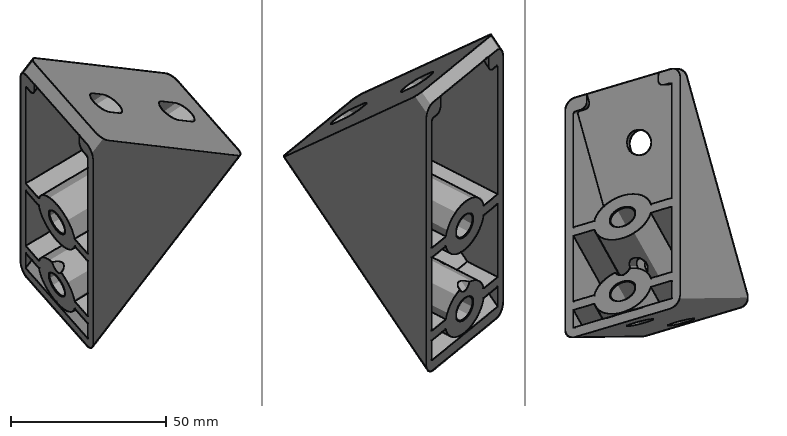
import cadquery as cq
import math

width = 40.0
plate_length = 2 * width
height = 116.7
corner_radius = 3.5
side_wall = 2.9
top_plate = 4.9
bottom_plate = 3.3
inner_apex_radius = 2.0

corner_pad = 4.7
pad_outer_radius = 2.1
pad_inner_radius = 0.8

boss_heights = (15.0, 50.0)
boss_diameter = 20.1
bore_diameter = 8.5
bore_chamfer = 0.2
rib_thickness = 4.1

slot_outer_width = 9.1
slot_inner_width = 8.0
slots = ((25.5, 16.1, 10.7), (64.3, 14.1, 8.2))
relief_diameter = 5.6
relief_offset = 18.8

slope = math.sqrt(2)
apex = height - plate_length / slope

apex_plane = cq.Plane(origin=(0, apex, apex), xDir=(-1, 0, 0), normal=(0, 1, 1))
prism_depth = apex * slope


def slope_box(box_width, start, end, top_depth):
    """Block under the top plate, running from its given depth past the front."""
    return (
        cq.Workplane(apex_plane)
        .workplane(offset=-top_depth)
        .center(0, (start + end) / 2)
        .rect(box_width, end - start)
        .extrude(-prism_depth)
    )


def make_envelope():
    prism = slope_box(width, 0, plate_length, 0)
    prism = prism.edges(cq.selectors.ParallelDirSelector(cq.Vector(0, 1, 1))).fillet(corner_radius)
    behind_front = cq.Workplane("XY").box(2 * width, 2 * height, 4 * height, centered=(True, False, True))
    return prism.intersect(behind_front)


def make_cavity():
    cavity_width = width - 2 * side_wall
    cavity = slope_box(cavity_width, bottom_plate, plate_length, top_plate)
    apex_edge = cq.selectors.NearestToPointSelector(
        (0, apex - (top_plate + bottom_plate) / slope, apex + (bottom_plate - top_plate) / slope)
    )
    cavity = cavity.edges(apex_edge).fillet(inner_apex_radius)
    for side in (-1, 1):
        cavity = cavity.cut(make_corner_pad(side, cavity_width / 2))
    return cavity


def make_corner_pad(side, wall_x):
    """Pad in an upper cavity corner, with a rounded nose and a small fillet at the wall."""
    pad_x = wall_x - corner_pad
    pad_start = plate_length - corner_pad
    nose = pad_outer_radius
    root = pad_inner_radius
    bend = math.sqrt(0.5)
    return (
        cq.Workplane(apex_plane)
        .moveTo(side * wall_x, plate_length)
        .lineTo(side * pad_x, plate_length)
        .lineTo(side * pad_x, pad_start + nose)
        .threePointArc(
            (side * (pad_x + nose * (1 - bend)), pad_start + nose * (1 - bend)),
            (side * (pad_x + nose), pad_start),
        )
        .lineTo(side * (wall_x - root), pad_start)
        .threePointArc(
            (side * (wall_x - root * (1 - bend)), pad_start - root * (1 - bend)),
            (side * wall_x, pad_start - root),
        )
        .close()
        .extrude(-prism_depth)
    )


def add_bosses(body, envelope):
    centres = [(0, z) for z in boss_heights]
    front = cq.Workplane("XZ").pushPoints(centres)
    bosses = front.circle(boss_diameter / 2).extrude(-apex)
    ribs = front.rect(width - side_wall, rib_thickness).extrude(-apex)
    return body.union(bosses.union(ribs).intersect(envelope))


def cut_bores(body):
    """Through bores with a small chamfer at the front."""
    for boss_height in boss_heights:
        front = cq.Workplane("XZ", origin=(0, 0, boss_height))
        bore = front.circle(bore_diameter / 2).extrude(-apex)
        mouth = front.circle(bore_diameter / 2 + bore_chamfer).extrude(-bore_chamfer, taper=45)
        body = body.cut(bore).cut(mouth)
    return body


def cut_slots(body):
    """Round-ended slots that taper through the top plate towards their upper end."""
    for upper_end, outer_length, inner_length in slots:
        slot = (
            cq.Workplane(apex_plane)
            .center(0, upper_end - outer_length / 2)
            .slot2D(outer_length, slot_outer_width, 90)
            .workplane(offset=-top_plate)
            .center(0, (outer_length - inner_length) / 2)
            .slot2D(inner_length, slot_inner_width, 90)
            .loft(ruled=True)
        )
        body = body.cut(slot)
    return body


def cut_boss_relief(body):
    """Access hole square to the top plate that clips the lower boss."""
    relief = (
        cq.Workplane(apex_plane)
        .center(0, relief_offset)
        .circle(relief_diameter / 2)
        .extrude(-prism_depth)
    )
    return body.cut(relief)


envelope = make_envelope()
result = envelope.cut(make_cavity())
result = add_bosses(result, envelope)
result = cut_bores(result)
result = cut_slots(result)
result = cut_boss_relief(result)